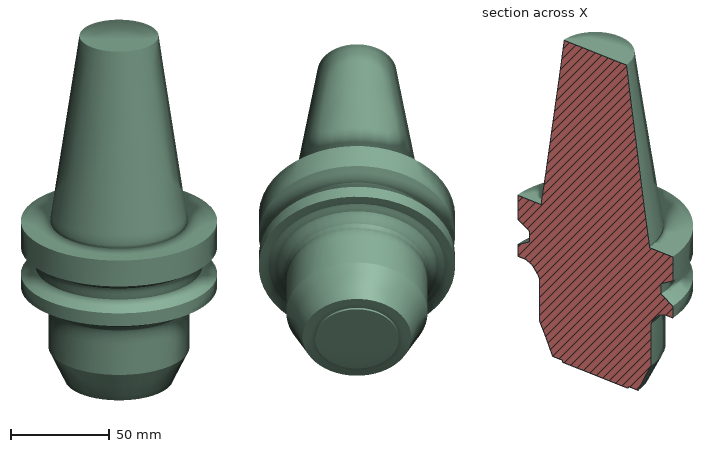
import cadquery as cq

total_height = 191.8
flange_radius = 100.0 / 2
groove_radius = 85.0 / 2
neck_radius = 72.0 / 2

shank_base_radius = 69.8 / 2
shank_top_radius = 20.1
shank_collar_height = 1.2

flange_top = 88.8
groove_upper_rim = 74.5
groove_upper_floor = 70.0
groove_lower_floor = 63.9
groove_lower_rim = 59.5
flange_bottom = 52.4
nose_start = 19.0

nose_end_radius = 27.6
tip_radius = 21.3
tip_height = 1.2

transition_height = 8.6
lower_cone_height = 2.3
upper_cone_height = 1.5
lower_cone_step = 1.0
middle_cone_step = 4.0
upper_cone_step = 3.8

transition_bottom = flange_bottom - transition_height
middle_cone_bottom = transition_bottom + lower_cone_height
middle_cone_top = flange_bottom - upper_cone_height
middle_cone_small_radius = neck_radius + lower_cone_step
middle_cone_large_radius = middle_cone_small_radius + middle_cone_step
transition_top_radius = middle_cone_large_radius + upper_cone_step

profile = (
    cq.Workplane("XZ")
    .lineTo(tip_radius, 0)
    .lineTo(tip_radius, tip_height)
    .lineTo(nose_end_radius, tip_height)
    .lineTo(neck_radius, nose_start)
    .lineTo(neck_radius, transition_bottom)
    .lineTo(middle_cone_small_radius, middle_cone_bottom)
    .lineTo(middle_cone_large_radius, middle_cone_top)
    .lineTo(transition_top_radius, flange_bottom)
    .lineTo(flange_radius, flange_bottom)
    .lineTo(flange_radius, groove_lower_rim)
    .lineTo(groove_radius, groove_lower_floor)
    .lineTo(groove_radius, groove_upper_floor)
    .lineTo(flange_radius, groove_upper_rim)
    .lineTo(flange_radius, flange_top)
    .lineTo(shank_base_radius, flange_top)
    .lineTo(shank_base_radius, flange_top + shank_collar_height)
    .lineTo(shank_top_radius, total_height)
    .lineTo(0, total_height)
    .close()
)

result = profile.revolve(360, (0, 0, 0), (0, 1, 0))